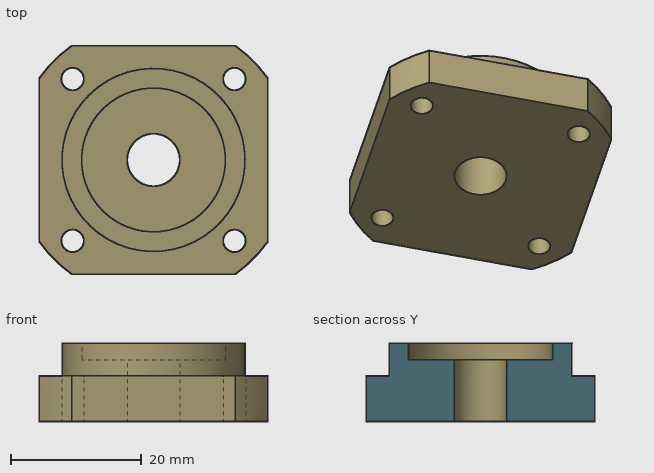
import cadquery as cq
import math

flange_width = 35.0
flange_corner_diameter = 43.0
flange_thickness = 7.0

boss_diameter = 28.0
boss_height = 5.0
recess_diameter = 22.0
recess_depth = 2.5

bore_diameter = 8.0
mount_hole_diameter = 3.4
bolt_circle_diameter = 35.0
mount_hole_spacing = bolt_circle_diameter / math.sqrt(2)

total_height = flange_thickness + boss_height


def cylinder(diameter, height, base_z=0.0):
    """Vertical cylinder on the part axis, standing on base_z."""
    return cq.Workplane("XY").workplane(offset=base_z).circle(diameter / 2).extrude(height)


def make_flange():
    """Square plate with its corners rounded about the part axis."""
    plate = cq.Workplane("XY").rect(flange_width, flange_width).extrude(flange_thickness)
    return plate.intersect(cylinder(flange_corner_diameter, flange_thickness))


def make_mount_holes():
    """Four through-hole cutters on the bolt circle, one near each corner."""
    return (
        cq.Workplane("XY")
        .rect(mount_hole_spacing, mount_hole_spacing, forConstruction=True)
        .vertices()
        .circle(mount_hole_diameter / 2)
        .extrude(flange_thickness)
    )


boss = cylinder(boss_diameter, boss_height, flange_thickness)
recess = cylinder(recess_diameter, recess_depth, total_height - recess_depth)
bore = cylinder(bore_diameter, total_height)

body = make_flange().union(boss)
result = body.cut(recess).cut(bore).cut(make_mount_holes())